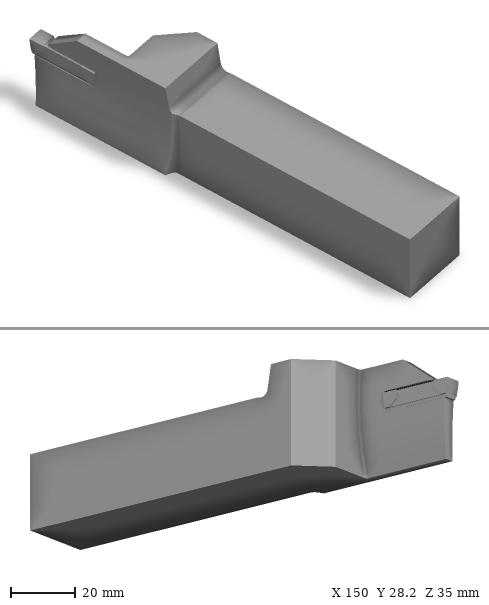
import cadquery as cq
import math

length = 150.0
shank_size = 25.0
head_height = 35.0
head_overhang = 3.2
head_end = 58.8

front_apex_y = -0.98
front_apex_z = 25.5
back_apex_y = 3.8
back_apex_z = 24.0
back_radius = 78.0
blade_foot_x = 3.9
blade_seat_x = 1.8
jaw_tip_x = 7.4
jaw_tip_height = 0.9
jaw_crest_x = 18.9

block_x = 35.8
block_corner_y = 15.3
block_chamfer_end_x = 45.8
inner_fillet = 0.8
crest_end_x = 53.8
top_slope_end = (55.2, 27.0)
foot_end_x = 55.4
front_slope_end = (56.0, -1.6)
front_runout_x = 57.6

insert_top = shank_size
insert_length = 25.8
keel_top = 20.0
keel_bottom = 18.9
clamp_gap = 0.68
slot_top = insert_top + clamp_gap
nose_break = (0.3, 22.5)
keel_start_x = 0.9
keel_end_x = 24.6
body_end_x = 25.2
body_y = (-1.12, 3.9)
cutting_y = (-1.42, 4.4)
keel_inset = 0.3
cutting_end_length = 5.2
cutting_end_drop = 2.7
cutting_end_run = 2.5
top_step = 0.2


def extrude_y(points, y_range):
    """Prism of an XZ outline between two Y positions."""
    start, end = y_range
    plane = cq.Workplane("XZ", origin=(0, start, 0))
    return plane.polyline(points).close().extrude(start - end)


def circle_y(apex_y, apex_z, radius, z):
    """Y on a circle that bulges toward +Y and has its apex at the given point."""
    return apex_y - radius + math.sqrt(radius**2 - (z - apex_z)**2)


def space_behind_arc(apex_y, apex_z, radius, x_end):
    """Everything behind a curved face, over the head height, from X = 0 to x_end."""
    arc = [(circle_y(apex_y, apex_z, radius, z), z) for z in (0, head_height / 2, head_height)]
    return (
        cq.Workplane("YZ")
        .moveTo(*arc[0])
        .threePointArc(arc[1], arc[2])
        .lineTo(shank_size, head_height)
        .lineTo(shank_size, 0)
        .close()
        .extrude(x_end)
    )


def head_side_outline():
    """Jaw, crest and foot outline, with a concave runout onto the shank top."""
    return (
        cq.Workplane("XZ", origin=(0, -head_overhang, 0))
        .moveTo(blade_foot_x, 0)
        .lineTo(blade_seat_x, keel_bottom)
        .lineTo(jaw_tip_x, keel_bottom)
        .lineTo(jaw_tip_x, slot_top + jaw_tip_height)
        .lineTo(jaw_crest_x, head_height)
        .lineTo(crest_end_x, head_height)
        .lineTo(*top_slope_end)
        .tangentArcPoint((head_end, shank_size), relative=False)
        .lineTo(head_end, 0)
        .close()
        .extrude(-head_overhang - shank_size)
    )


def head_plan_outline():
    """Plan of the head, with the block corner cut off and a concave runout in front."""
    return (
        cq.Workplane("XY")
        .moveTo(0, -head_overhang)
        .lineTo(foot_end_x, -head_overhang)
        .lineTo(*front_slope_end)
        .tangentArcPoint((front_runout_x, 0), relative=False)
        .lineTo(head_end, 0)
        .lineTo(head_end, shank_size)
        .lineTo(block_chamfer_end_x, shank_size)
        .lineTo(block_x, block_corner_y)
        .lineTo(0, block_corner_y)
        .close()
        .extrude(head_height)
    )


def insert_side_points():
    """Insert outline above the keel."""
    return [
        (0, insert_top),
        nose_break,
        (keel_start_x, keel_top),
        (body_end_x, keel_top),
        (insert_length, insert_top),
    ]


def keel_points():
    return [
        (keel_start_x, keel_top),
        (keel_start_x, keel_bottom),
        (keel_end_x, keel_bottom),
        (body_end_x, keel_top),
    ]


def make_holder():
    front_sag = front_apex_y + head_overhang
    front_radius = (front_apex_z**2 + front_sag**2) / (2 * front_sag)
    head = space_behind_arc(front_apex_y, front_apex_z, front_radius, head_end)

    relief = space_behind_arc(back_apex_y, back_apex_z, back_radius, block_x)
    inner_edge = cq.selectors.NearestToPointSelector((block_x, back_apex_y, head_height / 2))
    relief = relief.edges(inner_edge).fillet(inner_fillet)
    head = head.cut(relief).intersect(head_side_outline()).intersect(head_plan_outline())

    shank = cq.Workplane("XY").box(length - head_end, shank_size, shank_size, centered=False)
    holder = head.union(shank.translate((head_end, 0, 0)))

    through = (-head_overhang, block_corner_y)
    slit = [(0, insert_top), (0, slot_top), (insert_length, slot_top), (insert_length, insert_top)]
    for outline in (insert_side_points(), keel_points(), slit):
        holder = holder.cut(extrude_y(outline, through))
    return holder


def make_insert():
    body = extrude_y(insert_side_points(), body_y)
    keel = extrude_y(keel_points(), (body_y[0] + keel_inset, body_y[1] - keel_inset))

    envelope = extrude_y(insert_side_points(), cutting_y)
    slope_start_z = insert_top - cutting_end_drop
    slope_end_x = cutting_end_length - cutting_end_run
    front_end = [
        (0, insert_top),
        (cutting_end_length, insert_top),
        (cutting_end_length, slope_start_z),
        (slope_end_x, keel_top),
        (0, keel_top),
    ]
    rear_end = [(insert_length - x, z) for x, z in front_end]
    insert = body.union(keel)
    for outline in (front_end, rear_end):
        insert = insert.union(extrude_y(outline, cutting_y).intersect(envelope))

    rear_end_x = insert_length - cutting_end_length
    lowered_top = [
        (cutting_end_length, insert_top),
        (rear_end_x, insert_top),
        (rear_end_x, insert_top - top_step),
        (cutting_end_length, insert_top - top_step),
    ]
    return insert.cut(extrude_y(lowered_top, body_y))


holder = make_holder()
insert = make_insert()

result = cq.Compound.makeCompound([holder.val(), insert.val()])